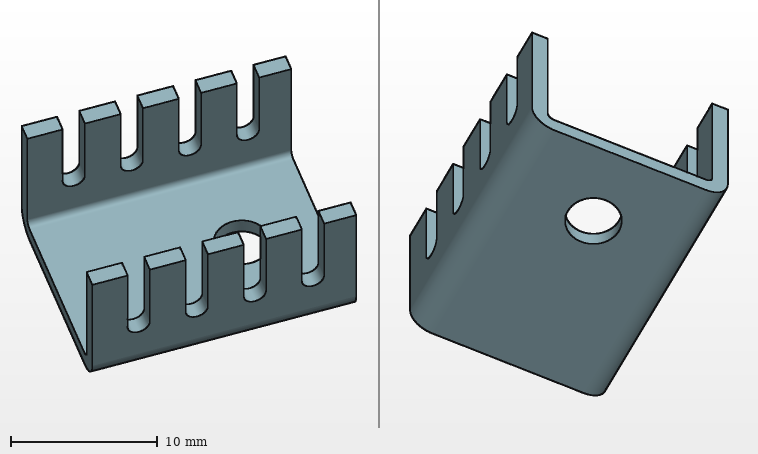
import cadquery as cq

width = 14.88
length = 19.05
height = 10.36
sheet = 1.2
inner_bend_radius = 0.5
outer_bend_radius = inner_bend_radius + sheet

slot_count = 4
slot_width = 1.6
slot_depth = 6.35
slot_pitch = 4.2
first_fin_width = 2.55

hole_diameter = 3.87
hole_y = 3.81


def make_channel():
    outer = (
        cq.Workplane("XY")
        .box(width, length, height, centered=(True, True, False))
        .edges("|Y and <Z")
        .fillet(outer_bend_radius)
    )
    inner = (
        cq.Workplane("XY", origin=(0, 0, sheet))
        .box(width - 2 * sheet, length, height, centered=(True, True, False))
        .edges("|Y and <Z")
        .fillet(inner_bend_radius)
    )
    return outer.cut(inner)


def make_slot(y):
    """Slot cutter running through both side walls at the given Y."""
    radius = slot_width / 2
    bottom = height - slot_depth
    return (
        cq.Workplane("YZ", origin=(-width / 2, 0, 0))
        .moveTo(y - radius, height)
        .lineTo(y - radius, bottom + radius)
        .threePointArc((y, bottom), (y + radius, bottom + radius))
        .lineTo(y + radius, height)
        .close()
        .extrude(width)
    )


def make_hole():
    return (
        cq.Workplane("XY")
        .center(0, hole_y)
        .circle(hole_diameter / 2)
        .extrude(sheet)
    )


result = make_channel().cut(make_hole())
first_slot_y = -length / 2 + first_fin_width + slot_width / 2
for index in range(slot_count):
    result = result.cut(make_slot(first_slot_y + index * slot_pitch))